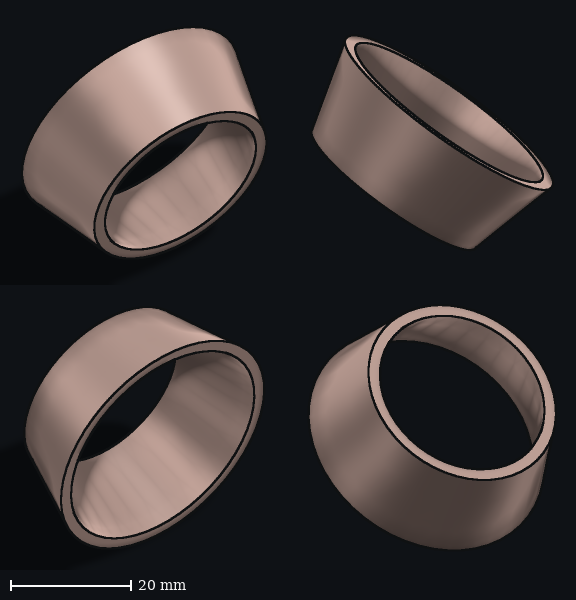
import cadquery as cq

length = 16.0
large_outer_diameter = 42.4
small_outer_diameter = 33.7
wall_thickness = 2.1

large_outer_radius = large_outer_diameter / 2
small_outer_radius = small_outer_diameter / 2

wall_section = [
    (0, large_outer_radius - wall_thickness),
    (0, large_outer_radius),
    (length, small_outer_radius),
    (length, small_outer_radius - wall_thickness),
]

axis_start = (0, 0, 0)
axis_end = (length, 0, 0)

result = (
    cq.Workplane("XZ")
    .polyline(wall_section)
    .close()
    .revolve(360, axis_start, axis_end)
)